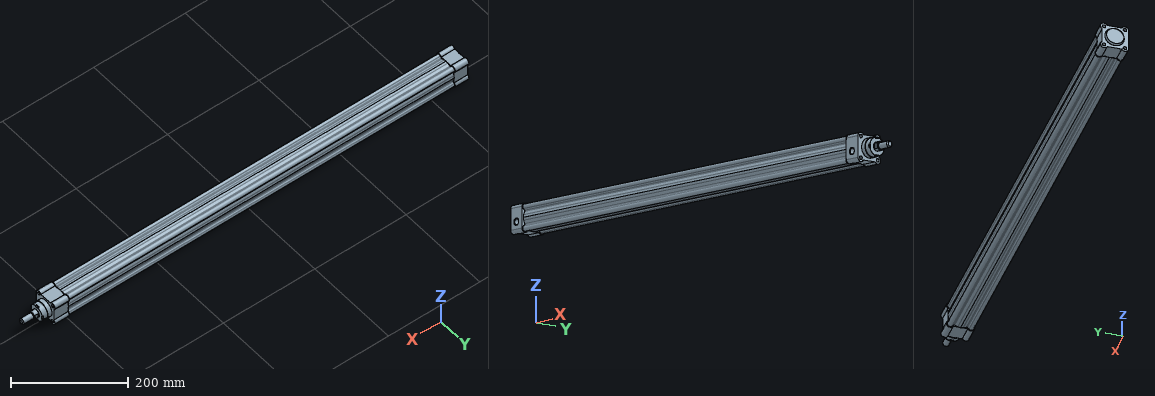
import cadquery as cq
import math

total_length = 964.0
rear_boss_length = 4.0
rear_cap_length = 30.0
tube_start = rear_boss_length + rear_cap_length
front_cap_start = 878.0
front_cap_end = 910.0
collar_start = 918.0
collar_end = 930.0
rod_shoulder = 941.0

overall_width = 51.0
half_width = overall_width / 2
cap_lobe_radius = 7.0
bolt_offset = half_width - cap_lobe_radius
side_recess = 3.4
bolt_hole_radius = 3.0
bolt_hole_depth = 15.0

port_radius = 5.3
port_rim_chamfer = 1.0
port_depth = 12.0
port_height = -6.0

boss_radius = 17.0
rear_boss_taper = 2.0
collar_radius = 16.0
notch_width = 6.0
notch_depth = 2.0
notch_length = 3.0

barrel_radius = 22.0
ridge_half_width = 5.0
ridge_rise = 1.1
rib_half_width = 5.1
rib_end_offset = 18.8
rib_root_fillet = 1.4

rod_radius = 8.0
thread_radius = 6.0
thread_chamfer = 2.0
shoulder_chamfer = 1.0
flat_start = 932.0
flat_end = 939.0
flat_depth = 1.4

bolt_positions = [(y, z) for y in (-bolt_offset, bolt_offset) for z in (-bolt_offset, bolt_offset)]
quarter_turns = (0, 90, 180, 270)


def section_plane(x):
    """Sketch plane across the axis at station x, with local axes Y and Z."""
    return cq.Workplane("YZ", origin=(x, 0, 0))


def disc(x_start, x_end, radius):
    """Plain cylinder on the X axis."""
    return section_plane(x_start).circle(radius).extrude(x_end - x_start)


def cap_block(x_start, x_end):
    """Cap block: four corner lobes, three recessed sides and a flush -Y side."""
    length = x_end - x_start
    recessed_width = overall_width - 2 * side_recess
    lobe_spacing = 2 * bolt_offset
    upright = section_plane(x_start).rect(recessed_width, lobe_spacing).extrude(length)
    crossbar = section_plane(x_start).rect(lobe_spacing, recessed_width).extrude(length)
    port_side = (
        section_plane(x_start)
        .center(-half_width / 2, 0)
        .rect(half_width, lobe_spacing)
        .extrude(length)
    )
    lobes = section_plane(x_start).pushPoints(bolt_positions).circle(cap_lobe_radius).extrude(length)
    return upright.union(crossbar).union(port_side).union(lobes)


def port(x):
    """Cutter for a chamfered supply port in the -Y face at station x."""
    face = cq.Workplane("XZ", origin=(x, -half_width, port_height))
    bore = face.circle(port_radius).extrude(-port_depth)
    rim = face.circle(port_radius + port_rim_chamfer).extrude(-port_rim_chamfer, taper=45)
    return bore.union(rim)


def bolt_holes(x, depth):
    """Cutters for the four corner bolt holes, running from station x."""
    return section_plane(x).pushPoints(bolt_positions).circle(bolt_hole_radius).extrude(depth)


def make_rear_cap():
    boss = (
        section_plane(0)
        .circle(boss_radius - rear_boss_taper)
        .workplane(offset=rear_boss_length)
        .circle(boss_radius)
        .loft(ruled=True)
    )
    cap = cap_block(rear_boss_length, tube_start).union(boss)
    cap = cap.cut(port((rear_boss_length + tube_start) / 2))
    return cap.cut(bolt_holes(rear_boss_length, bolt_hole_depth))


def polar(radius, degrees):
    """Point on the cross-section at a distance and an angle from the axis."""
    angle = math.radians(degrees)
    return (radius * math.cos(angle), radius * math.sin(angle))


def make_tube():
    base_angle = math.degrees(math.asin(ridge_half_width / barrel_radius))
    apex_radius = barrel_radius * math.cos(math.radians(base_angle)) + ridge_rise

    fillet_across = rib_half_width + rib_root_fillet
    fillet_along = math.sqrt((barrel_radius + rib_root_fillet) ** 2 - fillet_across**2)
    root_angle = math.degrees(math.atan2(fillet_across, fillet_along))
    barrel_middle = (base_angle + 45 - root_angle) / 2
    rib_end_along = math.hypot(rib_end_offset, rib_end_offset)

    def rib_point(along, across, diagonal):
        """Point measured along and across the rib whose centre line is at the diagonal angle."""
        return polar(math.hypot(along, across), diagonal + math.degrees(math.atan2(across, along)))

    outline = section_plane(tube_start).moveTo(apex_radius, 0)
    for turn in quarter_turns:
        diagonal = turn + 45
        outline = (
            outline.lineTo(*polar(barrel_radius, turn + base_angle))
            .threePointArc(
                polar(barrel_radius, turn + barrel_middle), polar(barrel_radius, diagonal - root_angle)
            )
            .radiusArc(rib_point(fillet_along, -rib_half_width, diagonal), rib_root_fillet)
            .lineTo(*rib_point(rib_end_along, -rib_half_width, diagonal))
            .threePointArc(
                polar(rib_end_along + rib_half_width, diagonal),
                rib_point(rib_end_along, rib_half_width, diagonal),
            )
            .lineTo(*rib_point(fillet_along, rib_half_width, diagonal))
            .radiusArc(polar(barrel_radius, diagonal + root_angle), rib_root_fillet)
            .threePointArc(
                polar(barrel_radius, turn + 90 - barrel_middle),
                polar(barrel_radius, turn + 90 - base_angle),
            )
            .lineTo(*polar(apex_radius, turn + 90))
        )
    return outline.close().extrude(front_cap_start - tube_start)


def make_front_cap():
    cap = cap_block(front_cap_start, front_cap_end)
    cap = cap.union(disc(front_cap_end, collar_start, boss_radius))
    cap = cap.union(disc(collar_start, collar_end, collar_radius))
    notch = (
        cq.Workplane("XY")
        .box(notch_length, notch_width, notch_depth, centered=(False, True, False))
        .translate((collar_end - notch_length, 0, collar_radius - notch_depth))
    )
    for turn in quarter_turns:
        cap = cap.cut(notch.rotate((0, 0, 0), (1, 0, 0), turn))
    cap = cap.cut(port((front_cap_start + front_cap_end) / 2))
    cap = cap.cut(bolt_holes(front_cap_end, -bolt_hole_depth))
    return cap.cut(disc(front_cap_start, collar_end, rod_radius))


def make_rod():
    shank = disc(front_cap_start, rod_shoulder, rod_radius).faces(">X").chamfer(shoulder_chamfer)
    for side in (-1, 1):
        flat = (
            cq.Workplane("XY")
            .box(flat_end - flat_start, flat_depth, 2 * rod_radius)
            .translate(((flat_start + flat_end) / 2, side * (rod_radius - flat_depth / 2), 0))
        )
        shank = shank.cut(flat)
    thread = disc(rod_shoulder, total_length, thread_radius).faces(">X").chamfer(thread_chamfer)
    return shank.union(thread)


rear_cap = make_rear_cap()
tube = make_tube()
front_cap = make_front_cap()
rod = make_rod()

bodies = (rear_cap, tube, front_cap, rod)
result = cq.Compound.makeCompound([body.solids().val() for body in bodies])